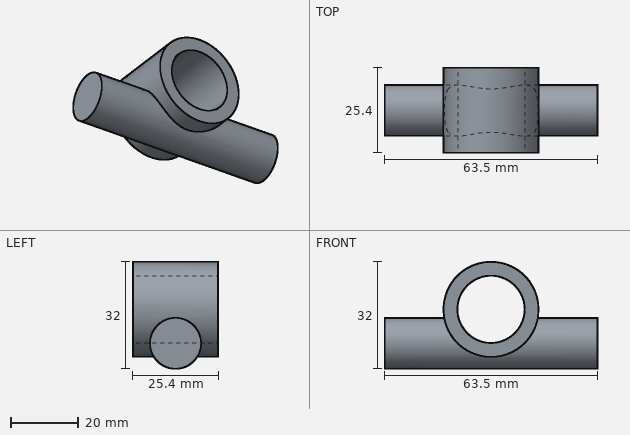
import cadquery as cq

rod_length = 63.5
rod_diameter = 15.24
sleeve_length = 25.4
sleeve_outer_diameter = 28.4
bore_diameter = 20.0
rod_drop = 10.16


def cylinder_along_y(diameter, length):
    """Cylinder on the Y axis, centred on the origin."""
    return cq.Workplane("XZ").circle(diameter / 2).extrude(length / 2, both=True)


def cross_rod():
    """Solid rod along X, passing below the sleeve axis."""
    return (
        cq.Workplane("YZ")
        .center(0, -rod_drop)
        .circle(rod_diameter / 2)
        .extrude(rod_length / 2, both=True)
    )


sleeve = cylinder_along_y(sleeve_outer_diameter, sleeve_length)
bore = cylinder_along_y(bore_diameter, sleeve_length)

result = sleeve.union(cross_rod()).cut(bore)